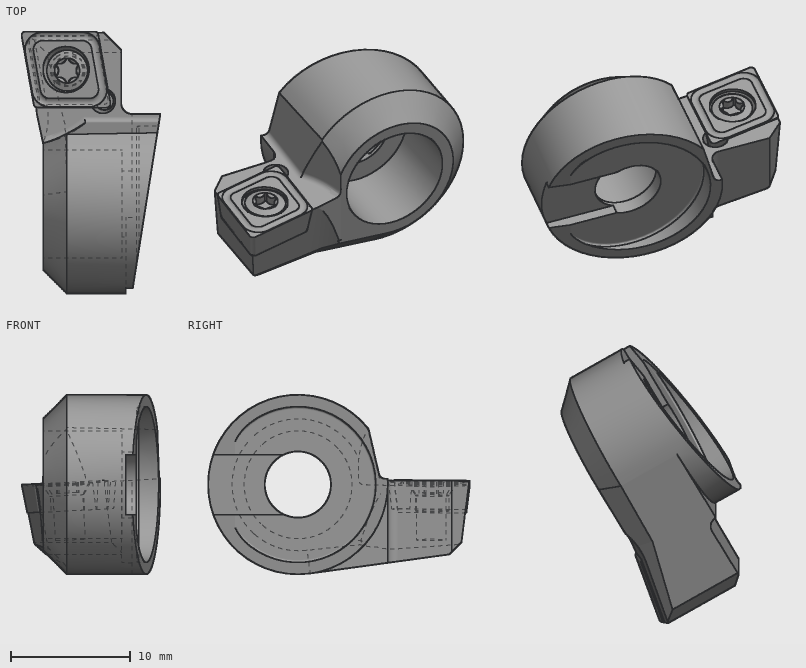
import cadquery as cq
import math

RING_RADIUS = 7.5
RING_CHAMFER = 1.99
FRONT_BORE_DIA = 9.0
FRONT_BORE_DEPTH = 6.55
THROUGH_DIA = 5.5
BACK_BORE_DIA = 13.0
BACK_BORE_FLOOR_X = 7.78
BACK_BORE_FILLET = 0.2
BACK_X = 8.6
BACK_ANGLE = 9.0
NOTCH_FLOOR_X = 6.9
NOTCH_WIDTH = 5.0

ARM_FOOT_Y = 5.03
ARM_TIP_Y = 14.25
ARM_TOP_Z = 0.65
ARM_BACK_X = 6.53
ARM_CORNER_CHAMFER = 1.42
ARM_CORNER_RADIUS = 0.87
ARM_SIDE_ANGLE = 12.0
ARM_BOTTOM_ANGLE = 7.8
WEDGE_CHAMFER_ANGLE = 6.1
ARM_TIP_CHAMFER_Y = 12.63
EDGE_CHAMFER_POINT = (-0.75, 13.44, -4.92)
EDGE_CHAMFER_SKEW = 0.12

CLEARANCE_X = -0.61
CLEARANCE_Y = 8.13
CLEARANCE_RADIUS = 5.68

SEAT_TILT = 3.0
TIP_X = -1.8
RELIEF_ANGLE = 7.0
INSERT_CENTER = (1.92, 11.19)
INSCRIBED_DIA = 6.34
LEAD_ANGLE = 10.0
INSERT_THICKNESS = 2.38
NOSE_RADIUS = 0.33
LAND_DROP = 0.1
RELIEF_HOLE_DIA = 2.1
RELIEF_HOLE_CENTER = (5.0, 8.57)
INSERT_HOLE_TOP_DIA = 3.85
INSERT_HOLE_DIA = 2.8
GROOVE_MARGIN = 0.07
GROOVE_DEPTH = 0.15
PLATEAU_INSET = 0.76
GROOVE_CORNER_RADIUS = 1.1

STEP_WALL_Y = 6.85
STEP_WALL_LEAN = 13.0
STEP_FILLET = 0.5
STEP_ARC_CENTER = (-1.73, 13.15)
STEP_ARC_RADIUS = 8.3

SCREW_OFFSET = (0.09, -0.09)
SCREW_DIA = 2.5
SCREW_HEAD_DIA = 3.4
SCREW_LENGTH = 4.8
HEAD_DOME = 0.22
HEAD_EDGE_DEPTH = 0.26
HEAD_CONE_END = 1.1
SOCKET_DIA = 2.05
SOCKET_RIM_DIA = 2.1
SOCKET_WAIST_DIA = 1.49
SOCKET_RIM_DEPTH = 0.17
SOCKET_DEPTH = 0.87
SOCKET_LOBES = 6
SOCKET_POINT_WIDTH = 0.17

BIG = 43.7

SCREW_CENTER = (INSERT_CENTER[0] + SCREW_OFFSET[0], INSERT_CENTER[1] + SCREW_OFFSET[1])


def tan(degrees):
    return math.tan(math.radians(degrees))


def polar(center, radius, degrees):
    angle = math.radians(degrees)
    return (center[0] + radius * math.cos(angle), center[1] + radius * math.sin(angle))


def half_space(origin, normal):
    """Large block on the side of a plane that the normal points to."""
    plane = cq.Plane(origin=origin, normal=normal)
    return cq.Workplane(plane).rect(BIG, BIG).extrude(BIG)


def tilt(shape):
    """Tilt a shape from the level frame of the insert into its seat."""
    return shape.rotate((TIP_X, 0, 0), (TIP_X, 1, 0), -SEAT_TILT)


def x_cylinder(diameter, start, end):
    return cq.Workplane("YZ", origin=(start, 0, 0)).circle(diameter / 2).extrude(end - start)


TANGENT_POINT = polar((0, 0), RING_RADIUS, ARM_BOTTOM_ANGLE - 90)


def underside_z(y):
    return TANGENT_POINT[1] + (y - TANGENT_POINT[0]) * tan(ARM_BOTTOM_ANGLE)


def ring_blank():
    """Solid ring, chamfered in front, with a wedge that joins it to the arm."""
    ring = x_cylinder(2 * RING_RADIUS, 0, BIG / 2).faces("<X").chamfer(RING_CHAMFER)
    wedge = (
        cq.Workplane("YZ")
        .lineTo(*TANGENT_POINT)
        .lineTo(RING_RADIUS, underside_z(RING_RADIUS))
        .lineTo(RING_RADIUS, 0)
        .close()
        .extrude(ARM_BACK_X + ARM_CORNER_RADIUS)
    )
    chamfer_foot = (RING_CHAMFER, *TANGENT_POINT)
    wedge_chamfer = half_space(chamfer_foot, (-1, tan(WEDGE_CHAMFER_ANGLE), -1))
    return ring.union(wedge.cut(wedge_chamfer))


def arm():
    far_y = ARM_TIP_Y + 0.44
    inner_x = ARM_BACK_X + ARM_CORNER_RADIUS
    corner_center = (inner_x, RING_RADIUS + ARM_CORNER_RADIUS)
    chamfer_start_y = ARM_TIP_Y - ARM_CORNER_CHAMFER
    blank = (
        cq.Workplane("XY", origin=(0, 0, -RING_RADIUS))
        .moveTo(0, ARM_FOOT_Y)
        .lineTo((ARM_FOOT_Y - far_y) * tan(ARM_SIDE_ANGLE), far_y)
        .lineTo(ARM_BACK_X - ARM_CORNER_CHAMFER - (far_y - ARM_TIP_Y), far_y)
        .lineTo(ARM_BACK_X, chamfer_start_y)
        .lineTo(ARM_BACK_X, corner_center[1])
        .threePointArc(polar(corner_center, ARM_CORNER_RADIUS, 225), (inner_x, RING_RADIUS))
        .lineTo(inner_x, ARM_FOOT_Y)
        .close()
        .extrude(RING_RADIUS + ARM_TOP_Z)
    )
    underside = half_space((0, *TANGENT_POINT), (0, tan(ARM_BOTTOM_ANGLE), -1))
    tip_face = half_space((0, ARM_TIP_Y, 0), (0, 1, -tan(RELIEF_ANGLE)))
    tip_chamfer_foot = (0, ARM_TIP_CHAMFER_Y, underside_z(ARM_TIP_CHAMFER_Y))
    tip_chamfer = half_space(tip_chamfer_foot, (0, 1, -1))
    edge_chamfer = half_space(EDGE_CHAMFER_POINT, (-1, -EDGE_CHAMFER_SKEW, -1))
    return blank.cut(underside).cut(tip_face).cut(tip_chamfer).cut(edge_chamfer)


def side_clearance():
    """Relief below the side cutting edge, running out in a round onto the ring."""
    start = (CLEARANCE_X, CLEARANCE_Y)
    center = polar(start, CLEARANCE_RADIUS, 180 + LEAD_ANGLE)
    arc_middle = polar(center, CLEARANCE_RADIUS, LEAD_ANGLE - 45)
    arc_end = polar(center, CLEARANCE_RADIUS, LEAD_ANGLE - 90)
    far_end = polar(start, BIG / 2, 90 + LEAD_ANGLE)
    cutter = (
        cq.Workplane("XY", origin=(0, 0, -BIG / 2))
        .moveTo(*far_end)
        .lineTo(*start)
        .threePointArc(arc_middle, arc_end)
        .lineTo(-BIG / 2, arc_end[1])
        .lineTo(-BIG / 2, far_end[1])
        .close()
        .extrude(BIG)
    )
    pivot = (CLEARANCE_X, 0, 0)
    return cutter.rotate(pivot, (CLEARANCE_X, 1, 0), -(RELIEF_ANGLE + SEAT_TILT))


def step_clearance():
    """Space above the arm, bounded by a leaning wall and a round wall."""
    top_z = 2 * RING_RADIUS
    straight = (
        cq.Workplane("YZ", origin=(STEP_ARC_CENTER[0], 0, 0))
        .moveTo(STEP_WALL_Y, -LAND_DROP)
        .lineTo(BIG, -LAND_DROP)
        .lineTo(BIG, top_z)
        .lineTo(STEP_WALL_Y - (top_z + LAND_DROP) * tan(STEP_WALL_LEAN), top_z)
        .close()
        .extrude(BIG)
    )
    foot = (BIG / 2, STEP_WALL_Y, -LAND_DROP)
    straight = straight.edges(cq.selectors.NearestToPointSelector(foot)).fillet(STEP_FILLET)
    round_end = (
        cq.Workplane("XY", origin=(*STEP_ARC_CENTER, -LAND_DROP))
        .circle(STEP_ARC_RADIUS)
        .extrude(top_z)
        .faces("<Z")
        .edges()
        .fillet(STEP_FILLET)
    )
    return tilt(straight.union(round_end))


def diamond_points(inset):
    half_height = INSCRIBED_DIA / 2 - inset
    half_width = half_height / math.cos(math.radians(LEAD_ANGLE))
    lean = half_height * tan(LEAD_ANGLE)
    x, y = INSERT_CENTER
    return [
        (x - half_width - lean, y + half_height),
        (x + half_width - lean, y + half_height),
        (x + half_width + lean, y - half_height),
        (x - half_width + lean, y - half_height),
    ]


def insert_blank():
    outline = cq.Workplane("XY").polyline(diamond_points(0)).close()
    return outline.extrude(-INSERT_THICKNESS, taper=RELIEF_ANGLE)


def relief_hole():
    circle = cq.Workplane("XY").center(*RELIEF_HOLE_CENTER).circle(RELIEF_HOLE_DIA / 2)
    return circle.extrude(-INSERT_THICKNESS, taper=RELIEF_ANGLE)


def screw_hole():
    circle = cq.Workplane("XY").center(*SCREW_CENTER).circle(SCREW_DIA / 2)
    return circle.extrude(-SCREW_LENGTH)


def make_holder():
    body = ring_blank().union(arm())
    body = body.cut(side_clearance())
    body = body.cut(step_clearance())
    for cutter in (insert_blank(), relief_hole(), screw_hole()):
        body = body.cut(tilt(cutter))
    body = body.cut(x_cylinder(FRONT_BORE_DIA, 0, FRONT_BORE_DEPTH))
    body = body.cut(x_cylinder(THROUGH_DIA, 0, BIG))
    back_bore = x_cylinder(BACK_BORE_DIA, BACK_BORE_FLOOR_X, BIG)
    body = body.cut(back_bore.faces("<X").edges().fillet(BACK_BORE_FILLET))
    notch = cq.Workplane("XY").box(BIG, BIG, NOTCH_WIDTH, centered=(False, False, True))
    body = body.cut(notch.translate((NOTCH_FLOOR_X, -BIG, 0)))
    return body.cut(half_space((BACK_X, 0, 0), (1, -tan(BACK_ANGLE), 0)))


def chip_groove():
    """Shallow round groove that follows the edges of the insert."""
    half_width = (PLATEAU_INSET - GROOVE_MARGIN) / 2
    tube_radius = (half_width**2 + GROOVE_DEPTH**2) / (2 * GROOVE_DEPTH)
    tube_z = tube_radius - GROOVE_DEPTH
    corners = diamond_points(GROOVE_MARGIN + half_width)
    block = cq.Workplane("XY", origin=(0, 0, tube_z)).polyline(corners).close().extrude(0.22)
    path = block.edges("not(>Z or <Z)").fillet(GROOVE_CORNER_RADIUS).faces("<Z").wires()
    start = (INSERT_CENTER[0], corners[0][1], tube_z)
    return cq.Workplane("YZ", origin=start).circle(tube_radius).sweep(path)


def make_insert():
    body = insert_blank().edges("not(>Z or <Z)").fillet(NOSE_RADIUS)
    body = body.cut(chip_groove())
    top_radius = INSERT_HOLE_TOP_DIA / 2
    hole_radius = INSERT_HOLE_DIA / 2
    hole = (
        cq.Workplane("XZ")
        .polyline([
            (0, 0),
            (top_radius, 0),
            (top_radius, -HEAD_EDGE_DEPTH),
            (hole_radius, -HEAD_CONE_END),
            (hole_radius, -INSERT_THICKNESS),
            (0, -INSERT_THICKNESS),
        ])
        .close()
        .revolve(360, (0, 0, 0), (0, 1, 0))
    )
    return tilt(body.cut(hole.translate((*INSERT_CENTER, 0))))


def star_socket():
    """Six-pointed socket with a round hollow between neighbouring points."""
    pitch = 360 / SOCKET_LOBES
    half_point = math.degrees(SOCKET_POINT_WIDTH / SOCKET_DIA)
    first = 90.0
    outline = cq.Workplane("XY").moveTo(*polar((0, 0), SOCKET_DIA / 2, first - half_point))
    for lobe in range(SOCKET_LOBES):
        point = first + lobe * pitch
        tip = polar((0, 0), SOCKET_DIA / 2, point)
        outline = outline.threePointArc(tip, polar((0, 0), SOCKET_DIA / 2, point + half_point))
        waist = polar((0, 0), SOCKET_WAIST_DIA / 2, point + pitch / 2)
        next_point = polar((0, 0), SOCKET_DIA / 2, point + pitch - half_point)
        outline = outline.threePointArc(waist, next_point)
    return outline.close().extrude(-SOCKET_DEPTH)


def make_screw():
    rim_radius = SOCKET_RIM_DIA / 2
    head_radius = SCREW_HEAD_DIA / 2
    shank_radius = SCREW_DIA / 2
    body = (
        cq.Workplane("XZ")
        .polyline([
            (0, -SOCKET_RIM_DEPTH),
            (SOCKET_WAIST_DIA / 2, -SOCKET_RIM_DEPTH),
            (rim_radius, 0),
            (head_radius, -HEAD_DOME),
            (head_radius, -HEAD_EDGE_DEPTH),
            (shank_radius, -HEAD_CONE_END),
            (shank_radius, -SCREW_LENGTH),
            (0, -SCREW_LENGTH),
        ])
        .close()
        .revolve(360, (0, 0, 0), (0, 1, 0))
    )
    body = body.cut(star_socket())
    return tilt(body.translate((*SCREW_CENTER, 0)))


holder = make_holder()
insert = make_insert()
screw = make_screw()

result = cq.Compound.makeCompound([holder.val(), insert.val(), screw.val()])